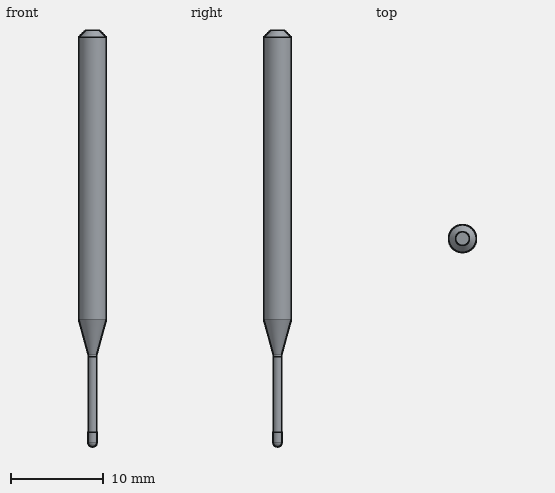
import cadquery as cq

total_length = 45.0
shank_diameter = 3.0
chamfer_height = 0.75
chamfer_width = 0.75

cone_top_z = 13.75
cone_bottom_z = 10.0
collar_height = 0.25

neck_diameter = 0.95
cutter_diameter = 1.0
cutting_length = 1.58

shank_radius = shank_diameter / 2
neck_radius = neck_diameter / 2
cutter_radius = cutter_diameter / 2
joint_z = cone_bottom_z - collar_height


def make_shank():
    """Round shank with a chamfered top, tapering through a cone to a short collar."""
    return (
        cq.Workplane("XZ")
        .moveTo(0, joint_z)
        .lineTo(neck_radius, joint_z)
        .lineTo(neck_radius, cone_bottom_z)
        .lineTo(shank_radius, cone_top_z)
        .lineTo(shank_radius, total_length - chamfer_height)
        .lineTo(shank_radius - chamfer_width, total_length)
        .lineTo(0, total_length)
        .close()
        .revolve(360, (0, 0), (0, 1))
    )


def make_cutter():
    """Neck butted against the collar, stepping out to a cutting end with a hemispherical nose."""
    return (
        cq.Workplane("XZ")
        .lineTo(0, joint_z)
        .lineTo(neck_radius, joint_z)
        .lineTo(neck_radius, cutting_length)
        .lineTo(cutter_radius, cutting_length)
        .lineTo(cutter_radius, cutter_radius)
        .radiusArc((0, 0), cutter_radius)
        .close()
        .revolve(360, (0, 0), (0, 1))
    )


shank = make_shank()
cutter = make_cutter()
result = cq.Compound.makeCompound([shank.val(), cutter.val()])